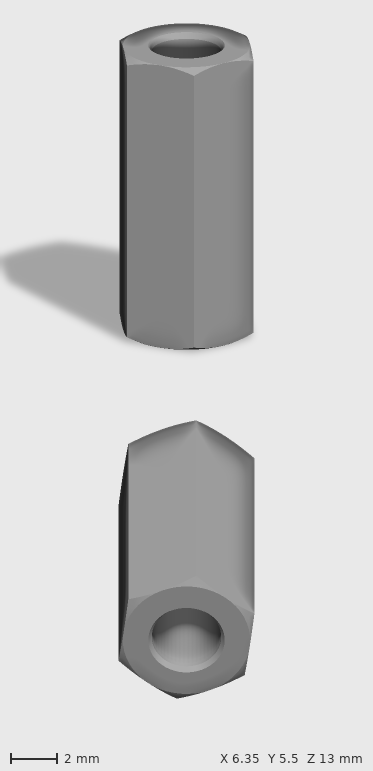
import cadquery as cq
import math

length = 13.0
across_flats = 5.5
bore_diameter = 3.0
countersink_diameter = 3.3
countersink_half_angle = 30.0
corner_chamfer_angle = 30.0

across_corners = across_flats / math.cos(math.radians(30))
flat_radius = across_flats / 2
corner_radius = across_corners / 2
bore_radius = bore_diameter / 2
countersink_radius = countersink_diameter / 2
corner_chamfer_height = (corner_radius - flat_radius) * math.tan(math.radians(corner_chamfer_angle))
countersink_depth = (countersink_radius - bore_radius) / math.tan(math.radians(countersink_half_angle))


def revolve_about_z(profile):
    """Turn a closed (radius, height) profile about the Z axis."""
    return cq.Workplane("XZ").polyline(profile).close().revolve(360, (0, 0, 0), (0, 1, 0))


def hexagonal_bar():
    """Hexagonal bar with two corners on the X axis."""
    return cq.Workplane("XY").polygon(6, across_corners).extrude(length)


def corner_chamfer_envelope():
    """Turned blank whose conical ends chamfer the hexagon corners."""
    return revolve_about_z([
        (0, 0),
        (flat_radius, 0),
        (corner_radius, corner_chamfer_height),
        (corner_radius, length - corner_chamfer_height),
        (flat_radius, length),
        (0, length),
    ])


def countersunk_bore():
    """Through bore, widened by a cone at both ends."""
    return revolve_about_z([
        (0, 0),
        (countersink_radius, 0),
        (bore_radius, countersink_depth),
        (bore_radius, length - countersink_depth),
        (countersink_radius, length),
        (0, length),
    ])


result = hexagonal_bar().intersect(corner_chamfer_envelope()).cut(countersunk_bore())